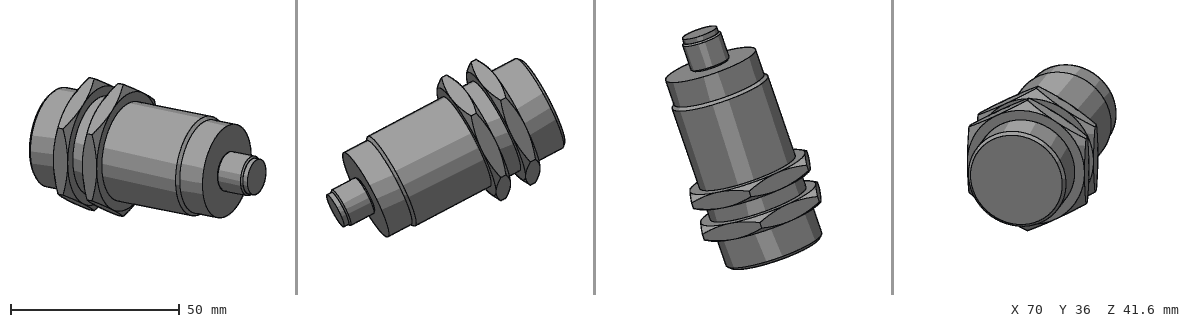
import cadquery as cq
import math

total_length = 70.0
barrel_end = 51.9
rear_section_end = 59.7
connector_end = 68.45

barrel_diameter = 30.0
rear_section_diameter = 28.2
connector_diameter = 12.0
connector_tip_diameter = 10.8

barrel_chamfer = (barrel_diameter - rear_section_diameter) / 2
connector_chamfer = 0.5

nut_across_flats = 36.0
nut_thickness = 5.0
nut_starts = (10.6, 20.6)
nut_chamfer_angle = 30.0
hexagon_half_angle = 30.0


def cylinder(start, end, diameter):
    """Solid cylinder on the X axis between two stations."""
    return cq.Workplane("YZ", origin=(start, 0, 0)).circle(diameter / 2).extrude(end - start)


def hex_nut(start):
    """Hexagon with corners on +Z and -Z, its corners coned off on both faces."""
    flat_radius = nut_across_flats / 2
    corner_radius = flat_radius / math.cos(math.radians(hexagon_half_angle))
    cone_depth = (corner_radius - flat_radius) * math.tan(math.radians(nut_chamfer_angle))
    corners = [
        (corner_radius * math.sin(math.radians(2 * hexagon_half_angle * i)),
         corner_radius * math.cos(math.radians(2 * hexagon_half_angle * i)))
        for i in range(6)
    ]
    hexagon = cq.Workplane("YZ", origin=(start, 0, 0)).polyline(corners).close().extrude(nut_thickness)
    end = start + nut_thickness
    coned_envelope = (
        cq.Workplane("XY")
        .moveTo(start, 0)
        .lineTo(start, flat_radius)
        .lineTo(start + cone_depth, corner_radius)
        .lineTo(end - cone_depth, corner_radius)
        .lineTo(end, flat_radius)
        .lineTo(end, 0)
        .close()
        .revolve(360, (0, 0, 0), (1, 0, 0))
    )
    return hexagon.intersect(coned_envelope)


barrel = cylinder(0, barrel_end, barrel_diameter).edges().chamfer(barrel_chamfer)
rear_section = cylinder(0, rear_section_end, rear_section_diameter)

connector = cylinder(rear_section_end, connector_end, connector_diameter).edges().chamfer(connector_chamfer)
connector_tip = cylinder(rear_section_end, total_length, connector_tip_diameter)

result = barrel.union(rear_section).union(connector).union(connector_tip)
for nut_start in nut_starts:
    result = result.union(hex_nut(nut_start))